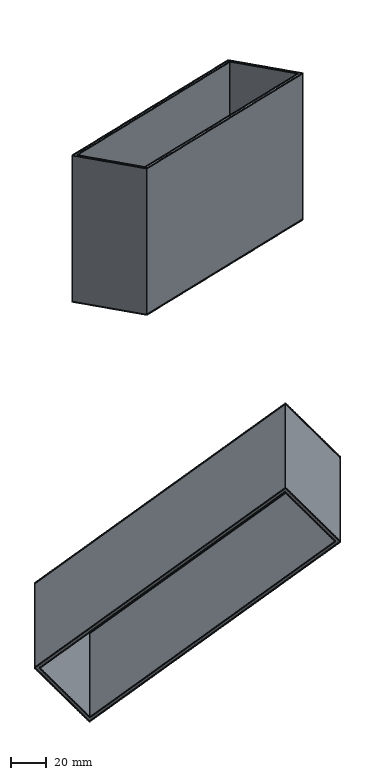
import cadquery as cq

width = 47.5
length = 185.5
height = 87.0
wall = 2.0

outer = cq.Workplane("XY").box(width, length, height)
opening = cq.Workplane("XY").box(width - 2 * wall, length - 2 * wall, height)

result = outer.cut(opening)